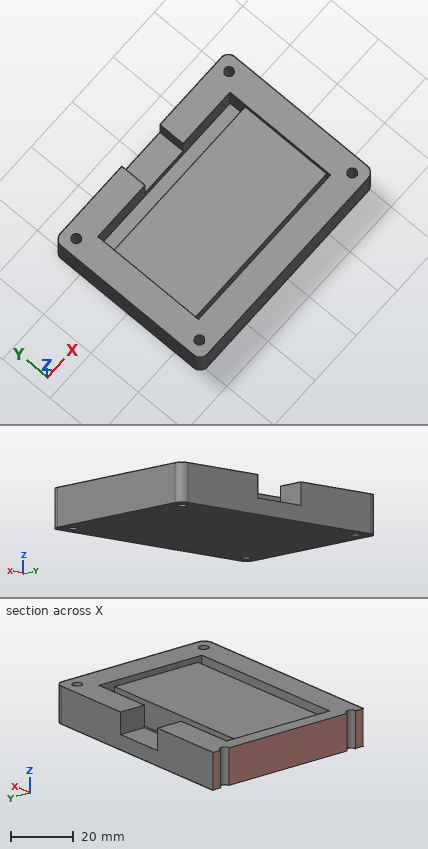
import cadquery as cq

LENGTH = 84.4
WIDTH = 62.0
HEIGHT = 13.0
CORNER_RADIUS = 6.0 / 2

HOLE_DIAMETER = 3.4
HOLE_INSET = 5.0

END_WALL = 10.05
SIDE_WALL = 9.8
FLOOR = 2.0
POCKET_LENGTH = LENGTH - 2 * END_WALL
POCKET_WIDTH = WIDTH - 2 * SIDE_WALL

NOTCH_WIDTH = 18.6
NOTCH_DEPTH = 7.7

BLOCK_FRONT_GAP = 1.6
BLOCK_REAR_GAP = 6.4
BLOCK_RECESS = 2.0
BLOCK_WIDTH = POCKET_WIDTH - BLOCK_FRONT_GAP - BLOCK_REAR_GAP
BLOCK_HEIGHT = HEIGHT - FLOOR - BLOCK_RECESS

FROM_BOTTOM = (True, True, False)


def make_housing():
    body = cq.Workplane("XY").box(LENGTH, WIDTH, HEIGHT, centered=FROM_BOTTOM)
    body = body.edges("|Z").fillet(CORNER_RADIUS)

    pocket = (
        cq.Workplane("XY", origin=(0, 0, FLOOR))
        .box(POCKET_LENGTH, POCKET_WIDTH, HEIGHT - FLOOR, centered=FROM_BOTTOM)
    )

    notch_center_y = (WIDTH - SIDE_WALL) / 2
    notch = (
        cq.Workplane("XY", origin=(0, notch_center_y, HEIGHT - NOTCH_DEPTH))
        .box(NOTCH_WIDTH, SIDE_WALL, NOTCH_DEPTH, centered=FROM_BOTTOM)
    )

    screw_holes = (
        cq.Workplane("XY")
        .rect(LENGTH - 2 * HOLE_INSET, WIDTH - 2 * HOLE_INSET, forConstruction=True)
        .vertices()
        .circle(HOLE_DIAMETER / 2)
        .extrude(HEIGHT)
    )
    return body.cut(pocket).cut(notch).cut(screw_holes)


def make_block():
    center_y = (BLOCK_FRONT_GAP - BLOCK_REAR_GAP) / 2
    return (
        cq.Workplane("XY", origin=(0, center_y, FLOOR))
        .box(POCKET_LENGTH, BLOCK_WIDTH, BLOCK_HEIGHT, centered=FROM_BOTTOM)
    )


housing = make_housing()
block = make_block()

result = cq.Compound.makeCompound([housing.val(), block.val()])